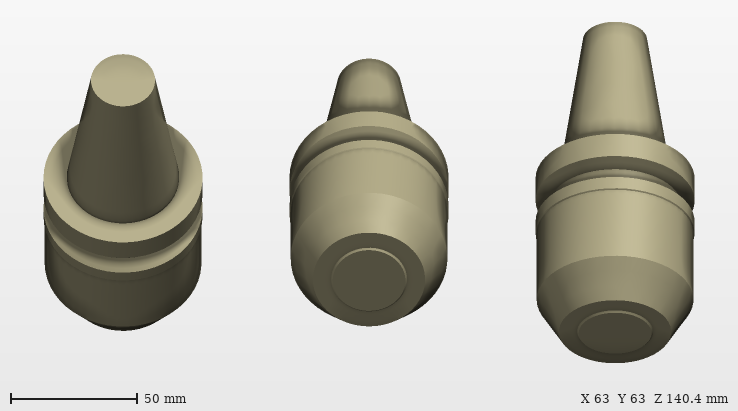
import math

import cadquery as cq


gauge_diameter = 44.45
taper_length = 65.4
taper_rate = 7 / 24
shank_end_diameter = gauge_diameter - taper_rate * taper_length

flange_diameter = 63.0
flange_top_z = -1.0
flange_bottom_z = -27.0
groove_diameter = 53.0
groove_centre_z = -16.6
groove_mouth_width = 10.0
groove_half_angle = math.radians(30)
groove_depth = (flange_diameter - groove_diameter) / 2
groove_floor_width = groove_mouth_width - 2 * groove_depth * math.tan(groove_half_angle)

body_diameter = 62.1
body_top_z = flange_bottom_z - (flange_diameter - body_diameter) / 2
body_bottom_z = -59.0

nose_half_angle = math.radians(30)
nose_bottom_z = -74.3
nose_diameter = body_diameter - 2 * (body_bottom_z - nose_bottom_z) * math.tan(nose_half_angle)

end_z = -75.0
end_face_diameter = 28.8
end_base_diameter = end_face_diameter + 2 * (nose_bottom_z - end_z)


def half_profile():
    """Closed outline of one half of the holder as (radius, z), from the shank end down."""
    diameters_and_heights = [
        (0, taper_length),
        (shank_end_diameter, taper_length),
        (gauge_diameter, 0),
        (gauge_diameter, flange_top_z),
        (flange_diameter, flange_top_z),
        (flange_diameter, groove_centre_z + groove_mouth_width / 2),
        (groove_diameter, groove_centre_z + groove_floor_width / 2),
        (groove_diameter, groove_centre_z - groove_floor_width / 2),
        (flange_diameter, groove_centre_z - groove_mouth_width / 2),
        (flange_diameter, flange_bottom_z),
        (body_diameter, body_top_z),
        (body_diameter, body_bottom_z),
        (nose_diameter, nose_bottom_z),
        (end_base_diameter, nose_bottom_z),
        (end_face_diameter, end_z),
        (0, end_z),
    ]
    return [(diameter / 2, z) for diameter, z in diameters_and_heights]


result = cq.Workplane("XZ").polyline(half_profile()).close().revolve(360, (0, 0, 0), (0, 1, 0))